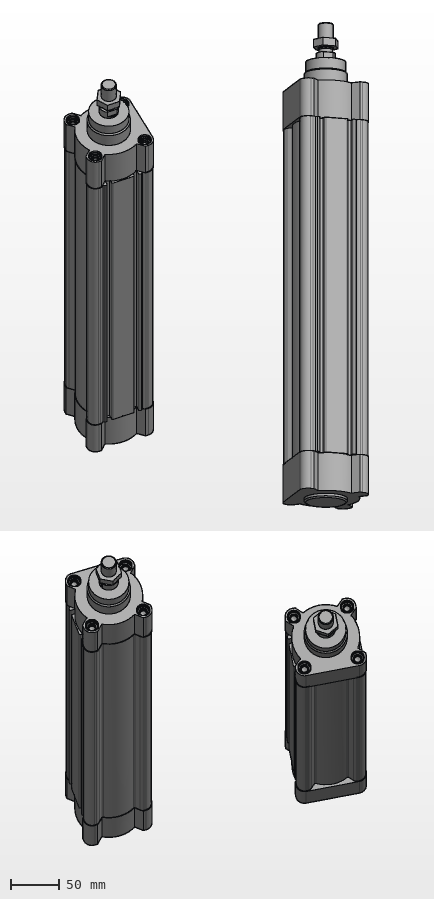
import cadquery as cq
import math

TOTAL_HEIGHT = 513.0
REAR_CAP_BOTTOM = 4.0
CAP_HEIGHT = 40.5
TUBE_BOTTOM = REAR_CAP_BOTTOM + CAP_HEIGHT
FRONT_CAP_TOP = 444.5
TUBE_TOP = FRONT_CAP_TOP - CAP_HEIGHT
COLLAR_STEP = 461.0
COLLAR_TOP = 472.0

TOLERANCE = 0.05

CAP_HALF_WIDTH = 37.5
CAP_LOBE_RADIUS = 35.5
CAP_FLANK_OFFSET = 12.5
SCREW_SPACING = 56.5
SCREW_CENTRE = SCREW_SPACING / 2
CAP_POST_RADIUS = CAP_HALF_WIDTH - SCREW_CENTRE

TUBE_WIDTH = 73.5
TUBE_HALF_WIDTH = TUBE_WIDTH / 2
TUBE_LOBE_RADIUS = 35.0
TUBE_FLANK_OFFSET = 13.0
TUBE_POST_RADIUS = TUBE_HALF_WIDTH - SCREW_CENTRE
TUBE_INNER_BLEND = 1.5
TUBE_OUTER_BLEND = 5.0

SLOT_FLOOR = 30.0
SLOT_INNER = 13.0
SLOT_OUTER = 18.0
LIP_OUTER = 21.0
GROOVE_OUTER = 23.5
RIB_ROUNDING = 1.3

SPIGOT_DIAMETER = 45.0
COLLAR_NECK_DIAMETER = 42.0
SPIGOT_CHAMFER = (SPIGOT_DIAMETER - COLLAR_NECK_DIAMETER) / 2

SOCKET_DIAMETERS = [14.0, 12.0, 8.5, 6.5]
SOCKET_STEP_DEPTH = 2.0
POINT_ANGLE = 118

ROD_DIAMETER = 20.0
ROD_BOTTOM = TUBE_TOP
ROD_SHOULDER = 481.5
FLATS_BOTTOM = 474.0
ROD_ACROSS_FLATS = 17.0
UNDERCUT_DIAMETER = 14.5
UNDERCUT_TOP = 485.5
THREAD_DIAMETER = 16.0
THREAD_CHAMFER = 1.0

NUT_ACROSS_FLATS = 23.5
NUT_BOTTOM = 487.5
NUT_HEIGHT = 8.0


def cylinder(diameter, bottom, top):
    """Cylinder on the Z axis between two heights."""
    return cq.Workplane("XY").workplane(offset=bottom).circle(diameter / 2).extrude(top - bottom)


def block(x_size, y_size, x_centre, y_centre, bottom, top):
    """Upright rectangular block between two heights."""
    return (
        cq.Workplane("XY")
        .workplane(offset=bottom)
        .center(x_centre, y_centre)
        .rect(x_size, y_size)
        .extrude(top - bottom)
    )


def corner_post(half_width, post_radius, flank_offset, bottom, top):
    """Post at the (+X, +Y) corner: a rounded outer corner and two 45 degree flanks."""
    flank_end = half_width - flank_offset
    round_start = half_width - post_radius
    arc_middle = round_start + post_radius * math.cos(math.radians(45))
    return (
        cq.Workplane("XY")
        .workplane(offset=bottom)
        .moveTo(0, flank_offset)
        .lineTo(flank_end, half_width)
        .lineTo(round_start, half_width)
        .threePointArc((arc_middle, arc_middle), (half_width, round_start))
        .lineTo(half_width, flank_end)
        .lineTo(flank_offset, 0)
        .lineTo(0, 0)
        .close()
        .extrude(top - bottom)
    )


def lobed_body(lobe_radius, half_width, post_radius, flank_offset, bottom, top):
    """Round waist with a post at each of its four corners."""
    body = cylinder(2 * lobe_radius, bottom, top)
    post = corner_post(half_width, post_radius, flank_offset, bottom, top)
    for quarter in range(4):
        body = body.union(post.rotate((0, 0, 0), (0, 0, 1), 90 * quarter))
    return body


def end_cap(bottom):
    """Lobed cap whose +Y side is filled out to a flat port face."""
    top = bottom + CAP_HEIGHT
    cap = lobed_body(CAP_LOBE_RADIUS, CAP_HALF_WIDTH, CAP_POST_RADIUS, CAP_FLANK_OFFSET, bottom, top)
    port_face = block(
        SCREW_SPACING, CAP_HALF_WIDTH - SCREW_CENTRE,
        0, (CAP_HALF_WIDTH + SCREW_CENTRE) / 2,
        bottom, top,
    )
    return cap.union(port_face)


def upright_edges(solid, distance):
    """Upright edges that lie at the given distance from the nearer of the XZ and YZ planes."""
    return solid.edges("|Z").filter(
        lambda edge: abs(min(abs(edge.Center().x), abs(edge.Center().y)) - distance) < TOLERANCE
    )


def blended_tube_body():
    """Lobed body of the tube with rounded edges at both ends of every post flank."""
    body = lobed_body(
        TUBE_LOBE_RADIUS, TUBE_HALF_WIDTH, TUBE_POST_RADIUS, TUBE_FLANK_OFFSET,
        TUBE_BOTTOM, TUBE_TOP,
    )
    half_offset = TUBE_FLANK_OFFSET / 2
    half_sum = math.sqrt(TUBE_LOBE_RADIUS**2 / 2 - half_offset**2)
    lobe_end = half_sum - half_offset
    flank_end = TUBE_HALF_WIDTH - TUBE_FLANK_OFFSET
    body = upright_edges(body, lobe_end).fillet(TUBE_INNER_BLEND)
    return upright_edges(body, flank_end).fillet(TUBE_OUTER_BLEND)


def sensor_slot_side():
    """Middle rib and two lips that form the sensor slots on the +X side of the tube."""
    height = TUBE_TOP - TUBE_BOTTOM
    groove_depth = GROOVE_OUTER - LIP_OUTER
    plane = cq.Workplane("XY").workplane(offset=TUBE_BOTTOM)
    rib = (
        plane.center(TUBE_HALF_WIDTH / 2, 0)
        .rect(TUBE_HALF_WIDTH, 2 * SLOT_INNER)
        .extrude(height)
        .edges("|Z and >X")
        .fillet(RIB_ROUNDING)
    )
    lip = (
        plane.moveTo(0, SLOT_OUTER)
        .lineTo(TUBE_HALF_WIDTH, SLOT_OUTER)
        .lineTo(TUBE_HALF_WIDTH, LIP_OUTER)
        .lineTo(TUBE_HALF_WIDTH - groove_depth, GROOVE_OUTER)
        .lineTo(0, GROOVE_OUTER)
        .close()
        .extrude(height)
        .edges(cq.NearestToPointSelector((TUBE_HALF_WIDTH, SLOT_OUTER, (TUBE_BOTTOM + TUBE_TOP) / 2)))
        .fillet(RIB_ROUNDING)
    )
    return rib.union(lip).union(lip.mirror("XZ"))


def barrel_tube():
    """Profiled tube between the caps, slotted along both X sides."""
    tube = blended_tube_body()
    slot_side = sensor_slot_side()
    slot_width = SLOT_OUTER - SLOT_INNER
    slot_depth = TUBE_HALF_WIDTH - SLOT_FLOOR
    for side in (1, -1):
        tube = tube.union(slot_side if side == 1 else slot_side.mirror("YZ"))
        for end in (1, -1):
            slot = block(
                slot_depth, slot_width,
                side * (SLOT_FLOOR + slot_depth / 2), end * (SLOT_INNER + slot_width / 2),
                TUBE_BOTTOM, TUBE_TOP,
            )
            tube = tube.cut(slot)
    return tube


def screw_socket():
    """Cutter for one socket, centred on the Z axis with its mouth at the front cap's top face."""
    floor = FRONT_CAP_TOP
    socket = cq.Workplane("XY")
    for diameter in SOCKET_DIAMETERS:
        floor -= SOCKET_STEP_DEPTH
        socket = socket.union(cylinder(diameter, floor, FRONT_CAP_TOP))
    point_radius = SOCKET_DIAMETERS[-1] / 2
    point_depth = point_radius / math.tan(math.radians(POINT_ANGLE / 2))
    point = cq.Workplane(
        cq.Solid.makeCone(point_radius, 0, point_depth, cq.Vector(0, 0, floor), cq.Vector(0, 0, -1))
    )
    return socket.union(point)


def cut_screw_sockets(housing):
    """Sink a socket into each of the four corners of the front cap."""
    socket = screw_socket()
    for x in (-SCREW_CENTRE, SCREW_CENTRE):
        for y in (-SCREW_CENTRE, SCREW_CENTRE):
            housing = housing.cut(socket.translate((x, y, 0)))
    return housing


def make_housing():
    """Caps, tube, collar and spigot in one body, bored for the piston rod."""
    spigot = cylinder(SPIGOT_DIAMETER, 0, REAR_CAP_BOTTOM).faces("<Z").chamfer(SPIGOT_CHAMFER)
    collar = cylinder(SPIGOT_DIAMETER, FRONT_CAP_TOP, COLLAR_STEP).faces(">Z").chamfer(SPIGOT_CHAMFER)
    collar_neck = cylinder(COLLAR_NECK_DIAMETER, COLLAR_STEP, COLLAR_TOP)
    housing = (
        barrel_tube()
        .union(end_cap(REAR_CAP_BOTTOM))
        .union(end_cap(TUBE_TOP))
        .union(spigot)
        .union(collar)
        .union(collar_neck)
    )
    return cut_screw_sockets(housing).cut(cylinder(ROD_DIAMETER, ROD_BOTTOM, COLLAR_TOP))


def make_rod():
    """Piston rod with wrench flats facing +-X, an undercut and a threaded end."""
    shank = cylinder(ROD_DIAMETER, ROD_BOTTOM, ROD_SHOULDER)
    for side in (1, -1):
        flat_cutter = block(
            ROD_DIAMETER, ROD_DIAMETER,
            side * (ROD_ACROSS_FLATS + ROD_DIAMETER) / 2, 0,
            FLATS_BOTTOM, ROD_SHOULDER,
        )
        shank = shank.cut(flat_cutter)
    undercut = cylinder(UNDERCUT_DIAMETER, ROD_SHOULDER, UNDERCUT_TOP)
    thread = cylinder(THREAD_DIAMETER, UNDERCUT_TOP, TOTAL_HEIGHT).faces("<Z or >Z").chamfer(THREAD_CHAMFER)
    return shank.union(undercut).union(thread)


def make_nut():
    """Hexagon nut on the thread, with flats facing +-X."""
    across_corners = NUT_ACROSS_FLATS / math.cos(math.radians(30))
    hexagon = (
        cq.Workplane("XY")
        .workplane(offset=NUT_BOTTOM)
        .polygon(6, across_corners)
        .extrude(NUT_HEIGHT)
        .rotate((0, 0, 0), (0, 0, 1), 30)
    )
    return hexagon.cut(cylinder(THREAD_DIAMETER, NUT_BOTTOM, NUT_BOTTOM + NUT_HEIGHT))


housing = make_housing()
rod = make_rod()
nut = make_nut()

result = cq.Compound.makeCompound([housing.val(), rod.val(), nut.val()])